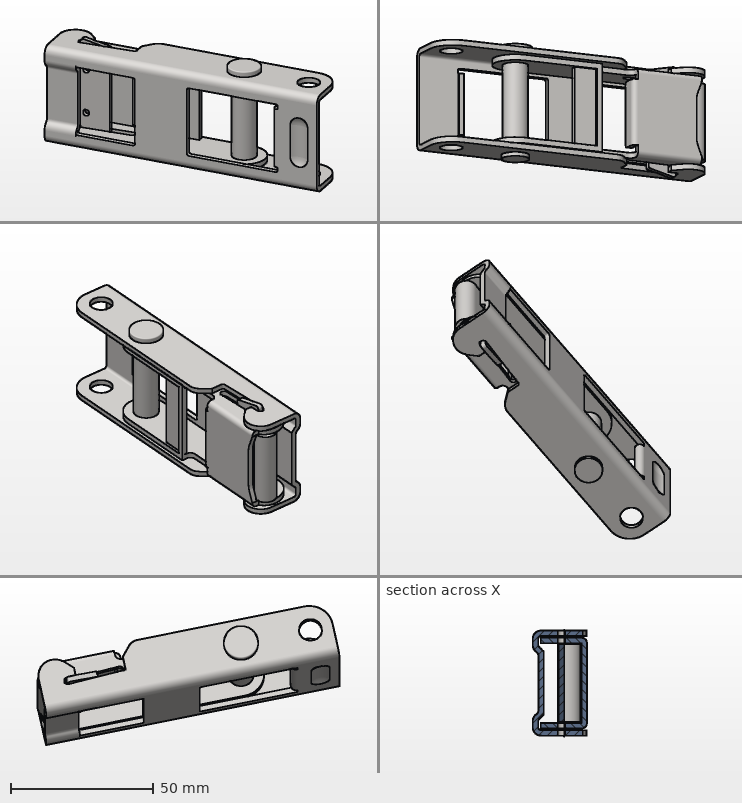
import cadquery as cq
import math


SHEET = 2.0
INNER_BEND = 1.0
OUTER_BEND = INNER_BEND + SHEET

HOUSING_LEFT = 0.4
HOUSING_RIGHT = 105.6
HOUSING_DEPTH = 20.0
HOUSING_HALF_WIDTH = 18.5
END_CORNER_RADIUS = 8.5
NOSE_CENTRE = (6.3, 13.1)
NOSE_RADIUS = NOSE_CENTRE[0] - HOUSING_LEFT
NOTCH_LEFT = 13.4
NOTCH_RIGHT = 31.1
NOTCH_RAMP_START_Y = 15.0
NOTCH_RAMP_ANGLE = 50.0
NOTCH_RAMP_FILLET = 4.4
NOTCH_CORNER_FILLET = 0.6
WINDOW_HALF_WIDTH = 13.0
WINDOW_CORNER = 0.8
FRONT_WINDOW_X = (12.5, 35.4)
REAR_WINDOW_X = (55.5, 90.5)
PANEL_SECTION_HALF_WIDTH = 13.7
PANEL_BEND_START_Z = 13.4
PANEL_RETURN_BEND = 1.6
PANEL_INNER_EDGE_Z = 11.0
REAR_LIP_REACH = 2.0
REAR_LIP_ROUND = 1.9
REAR_LIP_DEPTH = 2.7
REAR_LIP_ROOT_FILLET = 0.5
REAR_LIP_HALF_WIDTH = 11.1
DIMPLE_X = 98.8
DIMPLE_WIDTH = 6.8
DIMPLE_HALF_STRAIGHT = 6.0
DIMPLE_DEPTH = 1.2
END_HOLE_X = 97.5
END_HOLE_DIAMETER = 8.0

PIN_X = 72.6
PIN_Y = 11.0
PIN_DIAMETER = 9.1
PIN_HEAD_DIAMETER = 12.0
PIN_HEAD_HEIGHT = 2.0
PIN_HEAD_FILLET = 0.4
PIN_TAIL_DIAMETER = 9.8
PIN_TAIL_HEIGHT = 1.5

KNUCKLE_RADIUS = 4.0
KNUCKLE_X = KNUCKLE_RADIUS
KNUCKLE_Y = 12.9
LEVER_TILT = 3.0
LEVER_HALF_WIDTH = 13.7
PLATE_LENGTH = 16.9
PLATE_MID = -KNUCKLE_RADIUS + SHEET / 2
EAR_START = 5.8
EAR_TIP_Z = 20.2
EAR_END_Z = 17.7
EAR_TIP_FILLET = 1.3
EAR_END_FILLET = 0.7
SPRING_HOLE_DIAMETER = 2.3
SPRING_HOLE_ALONG = 8.0
SPRING_HOLE_Z = 8.2

SLOT_WIDTH = 2.6
SLOT_START = 4.9
SLOT_LENGTH = 21.4

SLIDER_HALF_WIDTH = 16.0
SLIDER_INNER = SLIDER_HALF_WIDTH - SHEET
SLIDER_END_RADIUS = 8.1
SLIDER_BOTTOM = PIN_Y - SLIDER_END_RADIUS
SLIDER_TOP = PIN_Y + SLIDER_END_RADIUS
SLIDER_LEFT = 0.8
SLIDER_NOSE_RADIUS = 6.3
WEB_LEFT = 3.7
WEB_RIGHT = 28.6
WEB_BOTTOM = SLIDER_TOP - SHEET
WEB_BEND = 1.9
WEB_NOTCH_DEPTH = 2.1
WEB_NOTCH_MOUTH_Z = SLIDER_INNER
WEB_NOTCH_FLOOR_Z = 8.5
WEB_NOTCH_FILLET = 5.3
LIP_HALF_WIDTH = 11.9
LIP_BOTTOM = 13.0
LIP_CORNER = 1.1
GAP_FLOOR = 15.0
GAP_FILLET = 2.0
GAP_RIGHT = 42.6
REAR_WEB_RIGHT = 52.8
REAR_WEB_BOTTOM = 16.1


def block(x_range, y_range, half_width):
    """Box over the given X and Y ranges, centred on Z = 0."""
    return (
        cq.Workplane("XY", origin=(0, 0, -half_width))
        .moveTo(x_range[0], y_range[0])
        .lineTo(x_range[1], y_range[0])
        .lineTo(x_range[1], y_range[1])
        .lineTo(x_range[0], y_range[1])
        .close()
        .extrude(2 * half_width)
    )


def upright_cylinder(x, y, diameter, bottom, top):
    """Cylinder along Z."""
    return cq.Workplane("XY", origin=(x, y, bottom)).circle(diameter / 2).extrude(top - bottom)


def edge_near(x, y, z):
    """Selector for the edge whose middle is closest to a point."""
    return cq.selectors.NearestToPointSelector((x, y, z))


def place_lever(shape):
    """Move a shape from the lever's own frame (origin on the knuckle axis) into the buckle."""
    return shape.rotate((0, 0, 0), (0, 0, 1), LEVER_TILT).translate((KNUCKLE_X, KNUCKLE_Y, 0))


def ear_slot():
    """Round-ended slot along the lever plate, cutting right through the width."""
    slot = (
        cq.Workplane("XY", origin=(0, 0, -HOUSING_HALF_WIDTH))
        .center(SLOT_START + SLOT_LENGTH / 2, PLATE_MID)
        .slot2D(SLOT_LENGTH, SLOT_WIDTH)
        .extrude(2 * HOUSING_HALF_WIDTH)
    )
    return place_lever(slot)


def slot_floor_y(x):
    """Height of the slot's lower edge at the given X."""
    tilt = math.radians(LEVER_TILT)
    drop = (SLOT_WIDTH / 2 - PLATE_MID) / math.cos(tilt)
    return KNUCKLE_Y - drop + (x - KNUCKLE_X) * math.tan(tilt)


def housing_channel():
    """U-channel along X with rounded bends."""
    outer = block((HOUSING_LEFT, HOUSING_RIGHT), (0, HOUSING_DEPTH), HOUSING_HALF_WIDTH)
    outer = outer.edges("|X and <Y").fillet(OUTER_BEND)
    inner = block((HOUSING_LEFT, HOUSING_RIGHT), (SHEET, HOUSING_DEPTH), HOUSING_HALF_WIDTH - SHEET)
    inner = inner.edges("|X and <Y").fillet(INNER_BEND)
    return outer.cut(inner)


def flange_outline():
    """Side outline of the housing flanges, extruded over the full width."""
    diagonal = NOSE_RADIUS * math.sqrt(0.5)
    nose_x, nose_y = NOSE_CENTRE
    shoulder = (nose_x + diagonal, nose_y + diagonal)
    notch_left_y = shoulder[1] - (NOTCH_LEFT - shoulder[0])
    ramp_rise = HOUSING_DEPTH - NOTCH_RAMP_START_Y
    ramp_top_x = NOTCH_RIGHT + ramp_rise / math.tan(math.radians(NOTCH_RAMP_ANGLE))
    outline = (
        cq.Workplane("XY", origin=(0, 0, -HOUSING_HALF_WIDTH))
        .moveTo(HOUSING_LEFT, 0)
        .lineTo(HOUSING_RIGHT, 0)
        .lineTo(HOUSING_RIGHT, HOUSING_DEPTH)
        .lineTo(ramp_top_x, HOUSING_DEPTH)
        .lineTo(NOTCH_RIGHT, NOTCH_RAMP_START_Y)
        .lineTo(NOTCH_RIGHT, slot_floor_y(NOTCH_RIGHT))
        .lineTo(NOTCH_LEFT, slot_floor_y(NOTCH_LEFT))
        .lineTo(NOTCH_LEFT, notch_left_y)
        .lineTo(*shoulder)
        .threePointArc((nose_x - diagonal, nose_y + diagonal), (HOUSING_LEFT, nose_y))
        .close()
        .extrude(2 * HOUSING_HALF_WIDTH)
    )
    outline = outline.edges(edge_near(HOUSING_RIGHT, HOUSING_DEPTH, 0)).fillet(END_CORNER_RADIUS)
    outline = outline.edges(edge_near(ramp_top_x, HOUSING_DEPTH, 0)).fillet(NOTCH_RAMP_FILLET)
    outline = outline.edges(edge_near(NOTCH_RIGHT, slot_floor_y(NOTCH_RIGHT), 0)).fillet(NOTCH_CORNER_FILLET)
    return outline


def sunken_panel():
    """Front end of the web, offset inwards by one sheet thickness through S-bends at both sides."""
    angle = math.acos(1 - SHEET / (OUTER_BEND + PANEL_RETURN_BEND))
    sine = math.sin(angle)
    cosine = math.cos(angle)
    panel_z = PANEL_BEND_START_Z - (OUTER_BEND + PANEL_RETURN_BEND) * sine
    outer_arc_end = (OUTER_BEND * (1 - cosine), PANEL_BEND_START_Z - OUTER_BEND * sine)
    inner_arc_end = (OUTER_BEND - INNER_BEND * cosine, PANEL_BEND_START_Z - INNER_BEND * sine)
    half_panel = (
        cq.Workplane("YZ", origin=(HOUSING_LEFT, 0, 0))
        .moveTo(0, PANEL_SECTION_HALF_WIDTH)
        .lineTo(0, PANEL_BEND_START_Z)
        .radiusArc(outer_arc_end, -OUTER_BEND)
        .radiusArc((SHEET, panel_z), PANEL_RETURN_BEND)
        .lineTo(SHEET, 0)
        .lineTo(2 * SHEET, 0)
        .lineTo(2 * SHEET, PANEL_INNER_EDGE_Z)
        .lineTo(*inner_arc_end)
        .radiusArc((SHEET, PANEL_BEND_START_Z), INNER_BEND)
        .lineTo(SHEET, PANEL_SECTION_HALF_WIDTH)
        .close()
        .extrude(FRONT_WINDOW_X[0] - HOUSING_LEFT)
    )
    return half_panel.union(half_panel.mirror("XY"))


def web_window(x_range):
    """Rounded rectangular opening through the housing web."""
    return block(x_range, (0, SHEET), WINDOW_HALF_WIDTH).edges("|Y").fillet(WINDOW_CORNER)


def rear_lip():
    """Rounded strap guide on the rear edge of the rear window."""
    right = REAR_WINDOW_X[1]
    lip = block((right - REAR_LIP_REACH, right), (0, REAR_LIP_DEPTH), REAR_LIP_HALF_WIDTH)
    return lip.edges("|Z and <X and <Y").fillet(REAR_LIP_ROUND)


def dimple():
    """Shallow round-ended groove: a capsule that dips into the web."""
    half_width = DIMPLE_WIDTH / 2
    radius = (half_width**2 + DIMPLE_DEPTH**2) / (2 * DIMPLE_DEPTH)
    axis_y = DIMPLE_DEPTH - radius
    capsule = upright_cylinder(DIMPLE_X, axis_y, 2 * radius, -DIMPLE_HALF_STRAIGHT, DIMPLE_HALF_STRAIGHT)
    for z in (-DIMPLE_HALF_STRAIGHT, DIMPLE_HALF_STRAIGHT):
        capsule = capsule.union(cq.Workplane("XY", origin=(DIMPLE_X, axis_y, z)).sphere(radius))
    return capsule


def make_housing():
    housing = housing_channel().intersect(flange_outline()).cut(ear_slot())
    panel_room = block((HOUSING_LEFT, FRONT_WINDOW_X[0]), (0, SHEET), PANEL_SECTION_HALF_WIDTH)
    housing = housing.cut(panel_room).union(sunken_panel())
    for x_range in (FRONT_WINDOW_X, REAR_WINDOW_X):
        housing = housing.cut(web_window(x_range))
    housing = housing.union(rear_lip())
    for z in (REAR_LIP_HALF_WIDTH, -REAR_LIP_HALF_WIDTH):
        root = edge_near(REAR_WINDOW_X[1], SHEET / 2, z)
        housing = housing.edges("|Y").edges(root).fillet(REAR_LIP_ROOT_FILLET)
    housing = housing.cut(dimple())
    for x, diameter in ((END_HOLE_X, END_HOLE_DIAMETER), (PIN_X, PIN_DIAMETER)):
        hole = upright_cylinder(x, PIN_Y, diameter, -HOUSING_HALF_WIDTH, HOUSING_HALF_WIDTH)
        housing = housing.cut(hole)
    return housing


def make_pin():
    outside = HOUSING_HALF_WIDTH
    head = upright_cylinder(PIN_X, PIN_Y, PIN_HEAD_DIAMETER, outside, outside + PIN_HEAD_HEIGHT)
    head = head.faces(">Z").edges().fillet(PIN_HEAD_FILLET)
    shaft = upright_cylinder(PIN_X, PIN_Y, PIN_DIAMETER, -outside, outside)
    tail = upright_cylinder(PIN_X, PIN_Y, PIN_TAIL_DIAMETER, -outside - PIN_TAIL_HEIGHT, -outside)
    return shaft.union(head).union(tail)


def lever_plate():
    """Flat plate with a tapered ear on each side, in the lever's own frame."""
    upper_side = [
        (0, LEVER_HALF_WIDTH),
        (EAR_START, LEVER_HALF_WIDTH),
        (EAR_START, EAR_TIP_Z),
        (PLATE_LENGTH, EAR_END_Z),
    ]
    outline = upper_side + [(x, -z) for x, z in reversed(upper_side)]
    plate = (
        cq.Workplane("XZ", origin=(0, PLATE_MID + SHEET / 2, 0))
        .polyline(outline)
        .close()
        .extrude(SHEET)
    )
    for side in (1, -1):
        plate = plate.edges(edge_near(EAR_START, PLATE_MID, side * EAR_TIP_Z)).fillet(EAR_TIP_FILLET)
        plate = plate.edges(edge_near(PLATE_LENGTH, PLATE_MID, side * EAR_END_Z)).fillet(EAR_END_FILLET)
    return plate


def make_lever():
    knuckle = upright_cylinder(0, 0, 2 * KNUCKLE_RADIUS, -LEVER_HALF_WIDTH, LEVER_HALF_WIDTH)
    spring_holes = (
        cq.Workplane("XZ", origin=(0, PLATE_MID + SHEET / 2, 0))
        .pushPoints([(SPRING_HOLE_ALONG, SPRING_HOLE_Z), (SPRING_HOLE_ALONG, -SPRING_HOLE_Z)])
        .circle(SPRING_HOLE_DIAMETER / 2)
        .extrude(SHEET)
    )
    return place_lever(lever_plate().union(knuckle).cut(spring_holes))


def side_plates():
    """Both side plates, with a rounded nose, a strap gap on top and a round end at the pin."""
    nose_rise = math.sqrt(SLIDER_NOSE_RADIUS**2 - (SLIDER_LEFT + SLIDER_NOSE_RADIUS - WEB_LEFT) ** 2)
    bottom_left = (SLIDER_LEFT + SLIDER_END_RADIUS, SLIDER_BOTTOM)
    outline = (
        cq.Workplane("XY", origin=(0, 0, -SLIDER_HALF_WIDTH))
        .moveTo(*bottom_left)
        .lineTo(PIN_X, SLIDER_BOTTOM)
        .threePointArc((PIN_X + SLIDER_END_RADIUS, PIN_Y), (PIN_X, SLIDER_TOP))
        .lineTo(GAP_RIGHT, SLIDER_TOP)
        .lineTo(GAP_RIGHT, GAP_FLOOR + GAP_FILLET)
        .radiusArc((GAP_RIGHT - GAP_FILLET, GAP_FLOOR), GAP_FILLET)
        .lineTo(WEB_RIGHT + GAP_FILLET, GAP_FLOOR)
        .radiusArc((WEB_RIGHT, GAP_FLOOR + GAP_FILLET), GAP_FILLET)
        .lineTo(WEB_RIGHT, WEB_BOTTOM)
        .lineTo(WEB_LEFT, WEB_BOTTOM)
        .lineTo(WEB_LEFT, PIN_Y + nose_rise)
        .radiusArc((SLIDER_LEFT, PIN_Y), -SLIDER_NOSE_RADIUS)
        .radiusArc(bottom_left, -SLIDER_END_RADIUS)
        .close()
        .extrude(2 * SLIDER_HALF_WIDTH)
    )
    between = block((SLIDER_LEFT, HOUSING_RIGHT), (0, HOUSING_DEPTH), SLIDER_INNER)
    return outline.cut(between)


def front_web():
    """Cross web with rounded outer bends and a shallow notch in its front edge."""
    web = block((WEB_LEFT, WEB_RIGHT), (WEB_BOTTOM, SLIDER_TOP), SLIDER_HALF_WIDTH)
    web = web.edges("|X and >Y").fillet(WEB_BEND)
    floor_x = WEB_LEFT + WEB_NOTCH_DEPTH
    notch = (
        cq.Workplane("XZ", origin=(0, SLIDER_TOP, 0))
        .moveTo(WEB_LEFT, -WEB_NOTCH_MOUTH_Z)
        .lineTo(floor_x, -WEB_NOTCH_FLOOR_Z)
        .lineTo(floor_x, WEB_NOTCH_FLOOR_Z)
        .lineTo(WEB_LEFT, WEB_NOTCH_MOUTH_Z)
        .close()
        .extrude(SHEET)
    )
    notch = notch.edges("|Y and >X").fillet(WEB_NOTCH_FILLET)
    return web.cut(notch)


def front_lip():
    """Lip bent down from the rear edge of the front web."""
    lip = block((WEB_RIGHT, WEB_RIGHT + SHEET), (LIP_BOTTOM, SLIDER_TOP), LIP_HALF_WIDTH)
    lip = lip.edges("|X and <Y").fillet(LIP_CORNER)
    return lip.edges("|Z and >X and >Y").fillet(WEB_BEND)


def rear_web():
    """Cross web behind the strap gap, its front edge turned up in a rounded lip."""
    web = block((GAP_RIGHT, REAR_WEB_RIGHT), (REAR_WEB_BOTTOM, REAR_WEB_BOTTOM + SHEET), SLIDER_INNER)
    lip = block((GAP_RIGHT, GAP_RIGHT + SHEET), (REAR_WEB_BOTTOM, SLIDER_TOP), SLIDER_INNER)
    return web.union(lip).edges("|Z and <X and <Y").fillet(WEB_BEND)


def make_slider():
    slider = side_plates().union(front_web()).union(front_lip()).union(rear_web())
    pin_hole = upright_cylinder(PIN_X, PIN_Y, PIN_DIAMETER, -SLIDER_HALF_WIDTH, SLIDER_HALF_WIDTH)
    return slider.cut(pin_hole).cut(ear_slot())


housing = make_housing()
pin = make_pin()
lever = make_lever()
slider = make_slider()

result = cq.Compound.makeCompound([housing.val(), pin.val(), lever.val(), slider.val()])